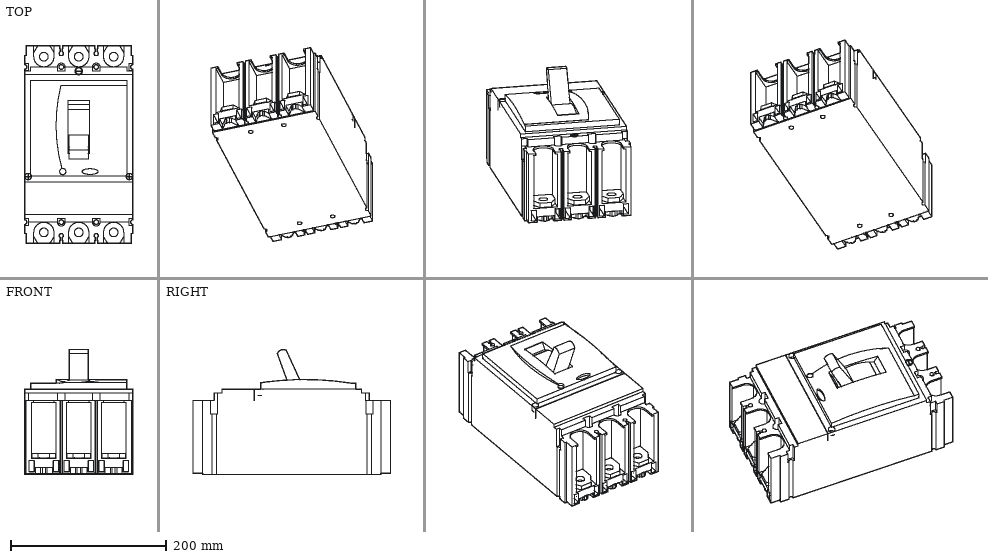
import cadquery as cq
import math


case_width = 139.7
case_length = 255.0
half_width = case_width / 2
half_length = case_length / 2
pole_pitch = 45.0
pole_centers = (-pole_pitch, 0.0, pole_pitch)
both_sides = (-1, 1)

shelf_z = 95.6
ledge_z = 105.5
cover_z = 110.3
plate_z = 118.0
lever_top_z = 161.36

end_half_width = 67.7
end_start_y = 114.8
end_bottom_z = 1.7
ledge_y = 100.0
cover_y = 90.0
above = 20.0

cavity_half_width = 15.7
cavity_back_y = 97.0
cavity_floor_z = 20.6
cavity_top_z = 93.0
terminal_y = 113.2
access_radius = 13.0
lug_half_width = 15.2
lug_tip_half_width = 7.6
lug_chamfer_y = 115.2
lug_bottom_z = 21.5
lug_top_z = 27.4
lug_hole_radius = 5.6
tunnel_inner_x = 12.4
tunnel_outer_x = 19.0
tunnel_bottom_z = 4.0
tunnel_top_z = 18.1
notch_half_width = 10.9
notch_top_z = 9.0
nose_tip_half_width = 4.4
nose_y = 124.5
rib_half_width = 2.0
rib_height = 1.5

mount_hole_radius = 2.9
mount_pocket_radius = 5.0
mount_pocket_floor_z = 78.0
side_pocket_x = 65.0
side_pocket_reach = 4.6
ledge_corner_x = 62.4
keyhole_y = 117.4
keyhole_radius = 2.6
slot_entry_half_width = 1.8
slot_neck_half_width = 1.1
slot_entry_length = 4.1

plate_half_width = 62.0
plate_y_min = -40.2
plate_y_max = 82.5
dome_y_max = 75.9
dome_base_z = 118.2
dome_front_z = 118.6
dome_peak_z = 122.7
dome_corner_x = -23.0
dome_bulge_x = -29.2
button_x = -20.6
button_y = -34.8
button_radius = 4.0
recess_floor_z = 116.8
oval_x = 14.6
oval_radius_x = 10.3
oval_radius_y = 3.7

opening_half_width = 14.0
opening_y_max = 57.0
opening_y_min = -11.4
opening_rim_z = 120.0
drum_y = (opening_y_max + opening_y_min) / 2
drum_z = 71.0
drum_radius = 48.8
drum_arc_half = 16.8
drum_step_half = 22.7
drum_foot_half = 29.0
drum_step_height = 0.7
lever_half_width = 12.25
lever_root_z = 100.0
lever_back_top = (-7.0, 160.4)
lever_crown = (-10.55, lever_top_z)
lever_front_top = (-18.7, 155.9)
lever_back_lean = 24.6
lever_front_lean = 20.0

head_radius = 4.2
cover_screw_x = 65.2
cover_screw_y = -41.2
cover_screw_z = 102.3
rear_screw_y = 94.7
rear_head_radius = 4.1
rear_recess_radius = 4.8
rear_recess_depth = 1.0
screw_slot_width = 0.7
screw_slot_depth = 0.8
screw_slot_margin = 0.9
seam_y = -48.3
seam_width = 0.4
seam_depth = 0.4


def box(x0, x1, y0, y1, z0, z1):
    """Box between two opposite corners; each pair may be in any order."""
    size = (abs(x1 - x0), abs(y1 - y0), abs(z1 - z0))
    center = ((x0 + x1) / 2, (y0 + y1) / 2, (z0 + z1) / 2)
    return cq.Workplane("XY").box(*size).translate(center)


def rod(x, y, radius, z0, z1):
    """Vertical cylinder."""
    return cq.Workplane("XY", origin=(x, y, z0)).circle(radius).extrude(z1 - z0)


def at_end(shape, sign, x=0.0):
    """Move a feature modelled at the +Y end to the given end and X place."""
    if sign < 0:
        shape = shape.mirror("XZ")
    return shape.translate((x, 0, 0))


def make_case():
    """Stepped case with terminal blocks, cover, sunk screws and front plate."""
    case = box(-half_width, half_width, -end_start_y, end_start_y, 0, shelf_z)
    case = case.union(box(-end_half_width, end_half_width, -half_length, half_length, end_bottom_z, shelf_z))
    case = case.union(box(-half_width, half_width, -ledge_y, ledge_y, 0, ledge_z))
    case = case.union(box(-half_width, half_width, -cover_y, cover_y, 0, cover_z))
    for side in both_sides:
        case = case.cut(make_cover_screw(side))
    plate = box(-plate_half_width, plate_half_width, plate_y_min, plate_y_max, cover_z, plate_z)
    return case.union(plate)


def make_dome():
    """Shallow barrel with a bowed left edge, and the two recesses cut into it."""
    mid_y = (dome_y_max + plate_y_min) / 2
    barrel = (
        cq.Workplane("YZ", origin=(-plate_half_width, 0, 0))
        .moveTo(plate_y_min, cover_z)
        .lineTo(plate_y_min, dome_front_z)
        .threePointArc((mid_y, dome_peak_z), (dome_y_max, dome_base_z))
        .lineTo(dome_y_max, cover_z)
        .close()
        .extrude(2 * plate_half_width)
    )
    bow_mid_y = (dome_y_max + button_y) / 2
    plan = (
        cq.Workplane("XY", origin=(0, 0, cover_z))
        .moveTo(plate_half_width, dome_y_max)
        .lineTo(dome_corner_x, dome_y_max)
        .threePointArc((dome_bulge_x, bow_mid_y), (button_x, button_y))
        .lineTo(button_x, plate_y_min)
        .lineTo(plate_half_width, plate_y_min)
        .close()
        .extrude(lever_top_z - cover_z)
    )
    dome = barrel.intersect(plan)
    oval = (
        cq.Workplane("XY", origin=(oval_x, button_y, recess_floor_z))
        .ellipse(oval_radius_x, oval_radius_y)
        .extrude(above)
    )
    button = rod(button_x, button_y, button_radius, recess_floor_z, recess_floor_z + above)
    return dome, oval.union(button)


def make_lever_opening():
    """Space above the drum: round top, stepped skirt at +Y and slanted end walls."""
    arc_rise = math.sqrt(drum_radius ** 2 - drum_arc_half ** 2)
    arc_z = drum_z + arc_rise
    skirt_slope = drum_arc_half / arc_rise
    step_z = arc_z - skirt_slope * (drum_step_half - drum_arc_half)
    low_step_z = step_z - drum_step_height
    foot_z = low_step_z - skirt_slope * (drum_foot_half - drum_step_half)
    half_opening = (opening_y_max - opening_y_min) / 2
    skirt = [
        (drum_step_half, step_z),
        (drum_step_half, low_step_z),
        (drum_foot_half, foot_z),
        (half_opening, opening_rim_z),
        (half_opening, lever_top_z),
    ]
    far_foot_z = drum_z + math.sqrt(drum_radius ** 2 - drum_foot_half ** 2)
    profile = (
        cq.Workplane("YZ", origin=(-opening_half_width, drum_y, 0))
        .moveTo(-half_opening, opening_rim_z)
        .lineTo(-drum_foot_half, far_foot_z)
        .threePointArc((0, drum_z + drum_radius), (drum_arc_half, arc_z))
    )
    for y, z in skirt:
        profile = profile.lineTo(y, z)
    profile = profile.lineTo(-half_opening, lever_top_z)
    return profile.close().extrude(2 * opening_half_width)


def make_lever():
    """Tapered lever leaning towards -Y, with a rounded tip."""
    def root(top, lean):
        y, z = top
        return (y + (z - lever_root_z) * math.tan(math.radians(lean)), lever_root_z)

    return (
        cq.Workplane("YZ", origin=(-lever_half_width, 0, 0))
        .moveTo(*root(lever_back_top, lever_back_lean))
        .lineTo(*lever_back_top)
        .threePointArc(lever_crown, lever_front_top)
        .lineTo(*root(lever_front_top, lever_front_lean))
        .close()
        .extrude(2 * lever_half_width)
    )


def make_terminal_space():
    """Hollow of one terminal: cavity, U opening in its roof, notch below."""
    cavity = box(
        -cavity_half_width, cavity_half_width,
        cavity_back_y, half_length,
        cavity_floor_z, cavity_top_z,
    )
    access = rod(0, terminal_y, access_radius, cavity_top_z, shelf_z)
    access = access.union(
        box(-access_radius, access_radius, terminal_y, half_length, cavity_top_z, shelf_z)
    )
    notch = box(-notch_half_width, notch_half_width, end_start_y, half_length, 0, notch_top_z)
    return cavity.union(access).union(notch)


def make_terminal_metal():
    """Connection lug with a bolt hole, and the ribbed nose in the notch."""
    lug = (
        cq.Workplane("XY", origin=(0, 0, lug_bottom_z))
        .moveTo(-lug_half_width, cavity_back_y)
        .lineTo(-lug_half_width, lug_chamfer_y)
        .lineTo(-lug_tip_half_width, half_length)
        .lineTo(lug_tip_half_width, half_length)
        .lineTo(lug_half_width, lug_chamfer_y)
        .lineTo(lug_half_width, cavity_back_y)
        .close()
        .extrude(lug_top_z - lug_bottom_z)
    )
    lug = lug.cut(rod(0, terminal_y, lug_hole_radius, lug_bottom_z, lug_top_z))
    nose = (
        cq.Workplane("XY", origin=(0, 0, end_bottom_z))
        .moveTo(-notch_half_width, end_start_y)
        .lineTo(-nose_tip_half_width, nose_y)
        .lineTo(nose_tip_half_width, nose_y)
        .lineTo(notch_half_width, end_start_y)
        .close()
        .extrude(notch_top_z - end_bottom_z)
    )
    rib = box(-rib_half_width, rib_half_width, end_start_y, nose_y + rib_height, end_bottom_z, notch_top_z)
    return lug, nose.union(rib)


def make_tunnels():
    """Rectangular passages along the whole length, two per pole."""
    tunnels = cq.Workplane("XY")
    for pole_x in pole_centers:
        for side in both_sides:
            x0 = pole_x + side * tunnel_inner_x
            x1 = pole_x + side * tunnel_outer_x
            tunnels = tunnels.union(
                box(x0, x1, -half_length, half_length, tunnel_bottom_z, tunnel_top_z)
            )
    return tunnels


def make_pole_gap():
    """Mounting hole with pocket, and keyhole slot, between two poles."""
    hole = rod(0, ledge_y, mount_hole_radius, 0, ledge_z)
    pocket = rod(0, ledge_y, mount_pocket_radius, mount_pocket_floor_z, ledge_z)
    pocket_square = box(
        -mount_pocket_radius, mount_pocket_radius,
        ledge_y - mount_pocket_radius, ledge_y,
        mount_pocket_floor_z, ledge_z,
    )
    keyhole = rod(0, keyhole_y, keyhole_radius, 0, shelf_z)
    neck = box(-slot_neck_half_width, slot_neck_half_width, keyhole_y, half_length, 0, shelf_z)
    entry_y = half_length - slot_entry_length
    entry = box(-slot_entry_half_width, slot_entry_half_width, entry_y, half_length, 0, shelf_z)
    return hole.union(pocket).union(pocket_square).union(keyhole).union(neck).union(entry)


def make_side_groove(side):
    """Half-round mounting groove in a side face, with its pocket."""
    edge_x = side * half_width
    groove = rod(edge_x, ledge_y, mount_hole_radius, 0, ledge_z)
    pocket = box(
        side * side_pocket_x, edge_x,
        ledge_y - side_pocket_reach, ledge_y + side_pocket_reach,
        mount_pocket_floor_z, ledge_z,
    )
    return groove.union(pocket)


def make_ledge_corner(side):
    """Corner taken out of the ledge at the +Y end."""
    corner_y = ledge_y - mount_pocket_radius
    return box(side * ledge_corner_x, side * half_width, corner_y, ledge_y, shelf_z, ledge_z)


def make_seam():
    """Narrow joint across the cover and down both sides to shelf height."""
    y0 = seam_y - seam_width / 2
    y1 = seam_y + seam_width / 2
    outer = box(-half_width, half_width, y0, y1, shelf_z, cover_z)
    inner_x = half_width - seam_depth
    return outer.cut(box(-inner_x, inner_x, y0, y1, shelf_z, cover_z - seam_depth))


def make_screw_slot(x, y, head_z, radius):
    """Straight slot along X in a round screw head."""
    half_slot = screw_slot_width / 2
    reach = radius - screw_slot_margin
    return box(x - reach, x + reach, y - half_slot, y + half_slot, head_z - screw_slot_depth, head_z)


def make_cover_screw(side):
    """Sunk cover screw: round recess with a cross slot in its floor."""
    x = side * cover_screw_x
    half_slot = screw_slot_width / 2
    reach = head_radius - screw_slot_margin
    recess = rod(x, cover_screw_y, head_radius, cover_screw_z, cover_z)
    cross = box(
        x - half_slot, x + half_slot,
        cover_screw_y - reach, cover_screw_y + reach,
        cover_screw_z - screw_slot_depth, cover_screw_z,
    )
    slot = make_screw_slot(x, cover_screw_y, cover_screw_z, head_radius)
    return recess.union(slot).union(cross)


def make_rear_screw():
    """Slotted screw head standing in a ring-shaped recess of the ledge."""
    floor_z = ledge_z - rear_recess_depth
    ring = rod(0, rear_screw_y, rear_recess_radius, floor_z, ledge_z)
    ring = ring.cut(rod(0, rear_screw_y, rear_head_radius, floor_z, ledge_z))
    return ring.union(make_screw_slot(0, rear_screw_y, ledge_z, rear_head_radius))


dome, dome_recesses = make_dome()
result = make_case().union(dome).cut(dome_recesses)
result = result.cut(make_lever_opening()).union(make_lever())

terminal_space = make_terminal_space()
lug, nose = make_terminal_metal()
pole_gap = make_pole_gap()
for sign in both_sides:
    for pole_x in pole_centers:
        result = result.cut(at_end(terminal_space, sign, pole_x))
        result = result.union(at_end(lug, sign, pole_x))
        result = result.union(at_end(nose, sign, pole_x))
    for gap_x in (-pole_pitch / 2, pole_pitch / 2):
        result = result.cut(at_end(pole_gap, sign, gap_x))
    for side in both_sides:
        result = result.cut(at_end(make_side_groove(side), sign))

for side in both_sides:
    result = result.cut(make_ledge_corner(side))

result = result.cut(make_tunnels()).cut(make_seam()).cut(make_rear_screw())